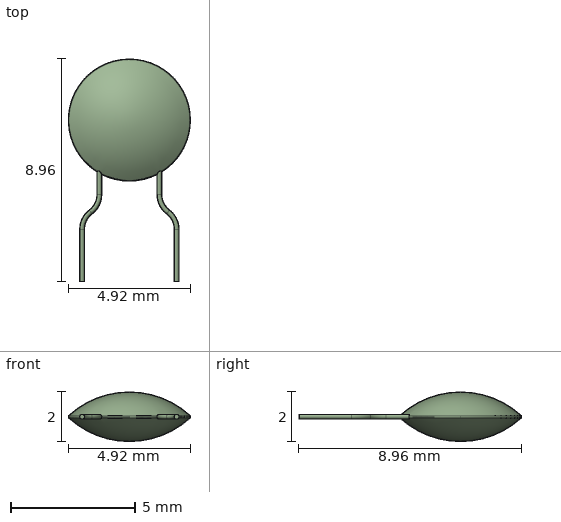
import cadquery as cq
import math

total_length = 8.96
disc_diameter = 4.92
disc_thickness = 2.0
rim_radius = 0.08

wire_diameter = 0.2
inner_pitch = 2.42
outer_pitch = 3.81
bend_start_y = -3.0
bend_end_y = -4.4
lead_root_y = -1.79

disc_radius = disc_diameter / 2
lead_end_y = disc_radius - total_length


def make_disc():
    """Revolve two spherical domes blended by a rounded rim."""
    half_thickness = disc_thickness / 2
    rim_center_x = disc_radius - rim_radius
    dome_radius = (rim_center_x**2 + half_thickness**2 - rim_radius**2) / (2 * (half_thickness - rim_radius))
    dome_center_z = half_thickness - dome_radius
    rim_angle = math.atan2(-dome_center_z, rim_center_x)
    dome_middle_angle = (rim_angle + math.pi / 2) / 2

    tangent_x = rim_center_x + rim_radius * math.cos(rim_angle)
    tangent_z = rim_radius * math.sin(rim_angle)
    dome_middle_x = dome_radius * math.cos(dome_middle_angle)
    dome_middle_z = dome_center_z + dome_radius * math.sin(dome_middle_angle)
    rim_middle_x = rim_center_x + rim_radius * math.cos(rim_angle / 2)
    rim_middle_z = rim_radius * math.sin(rim_angle / 2)
    return (
        cq.Workplane("XZ")
        .moveTo(0, -half_thickness)
        .threePointArc((dome_middle_x, -dome_middle_z), (tangent_x, -tangent_z))
        .threePointArc((rim_middle_x, -rim_middle_z), (disc_radius, 0))
        .threePointArc((rim_middle_x, rim_middle_z), (tangent_x, tangent_z))
        .threePointArc((dome_middle_x, dome_middle_z), (0, half_thickness))
        .close()
        .revolve(360, (0, 0, 0), (0, 1, 0))
    )


def make_lead(side):
    """Sweep one wire along a straight, S-bend, straight path; side is -1 or 1."""
    inner_x = side * inner_pitch / 2
    outer_x = side * outer_pitch / 2
    bend_middle = ((inner_x + outer_x) / 2, (bend_start_y + bend_end_y) / 2)
    path = (
        cq.Workplane("XY")
        .moveTo(inner_x, lead_root_y)
        .lineTo(inner_x, bend_start_y)
        .tangentArcPoint(bend_middle, relative=False)
        .tangentArcPoint((outer_x, bend_end_y), relative=False)
        .lineTo(outer_x, lead_end_y)
    )
    return (
        cq.Workplane("XZ", origin=(inner_x, lead_root_y, 0))
        .circle(wire_diameter / 2)
        .sweep(path)
    )


result = make_disc()
for side in (-1, 1):
    result = result.union(make_lead(side))